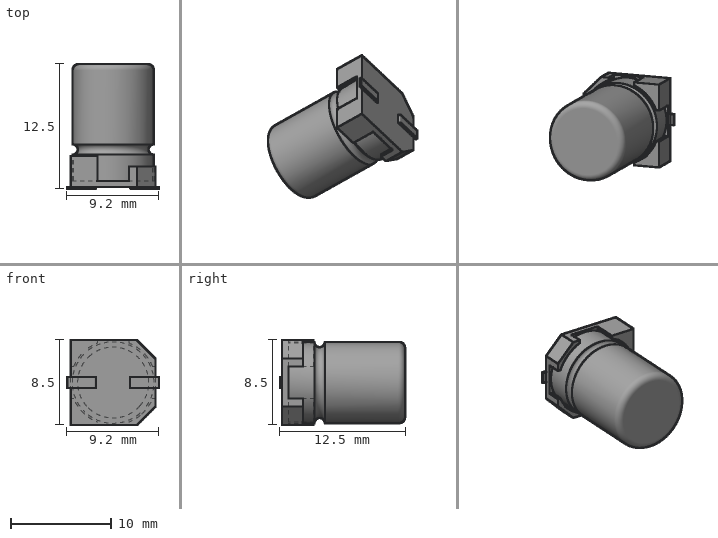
import cadquery as cq
import math


total_height = 12.51
terminal_span = 9.2
base_width = 8.5
can_diameter = 8.15

base_corner_cut = 1.87
base_floor = 0.63
tall_corner_height = 3.13
short_corner_height = 2.09
notch_width = 3.16

top_round = 0.65
groove_center = 3.76
groove_half_width = 0.51
groove_depth = 0.53

terminal_length = 2.9
terminal_width = 1.12
terminal_thickness = 0.2
terminal_end_round = 0.18

half_base = base_width / 2
can_radius = can_diameter / 2
can_top = total_height - terminal_thickness
seat_radius = half_base
groove_radius = can_radius - groove_depth


def make_can():
    """Closed round can with a rolled neck groove and a rounded top edge."""
    round_offset = top_round * math.sqrt(0.5)
    round_middle = (
        can_radius - top_round + round_offset,
        can_top - top_round + round_offset,
    )
    return (
        cq.Workplane("XY")
        .moveTo(0, base_floor)
        .lineTo(can_radius, base_floor)
        .lineTo(can_radius, groove_center - groove_half_width)
        .threePointArc(
            (groove_radius, groove_center),
            (can_radius, groove_center + groove_half_width),
        )
        .lineTo(can_radius, can_top - top_round)
        .threePointArc(round_middle, (can_radius - top_round, can_top))
        .lineTo(0, can_top)
        .close()
        .revolve(360, (0, 0, 0), (0, 1, 0))
    )


def box_above(bottom, x_length, z_length, x_center=0):
    """Box from the level `bottom` up past the tallest part of the base."""
    return cq.Workplane("XY").box(
        x_length, tall_corner_height, z_length, centered=(True, False, True)
    ).translate((x_center, bottom, 0))


def make_base():
    """Square base with two cut corners and four corner posts around the can."""
    base = (
        cq.Workplane("XY")
        .box(base_width, tall_corner_height, base_width, centered=(True, False, True))
        .edges("|Y and >X")
        .chamfer(base_corner_cut)
    )

    base = base.cut(box_above(short_corner_height, half_base, base_width, half_base / 2))

    base = base.cut(box_above(base_floor, notch_width, base_width))
    base = base.cut(box_above(base_floor, base_width, notch_width))

    can_seat = (
        cq.Workplane("XZ", origin=(0, base_floor, 0))
        .circle(seat_radius)
        .extrude(-tall_corner_height)
    )
    return base.cut(can_seat)


def make_terminal(side):
    """Flat terminal under the base with a rounded inner end; side is -1 or +1 along X."""
    outer_end = side * terminal_span / 2
    return (
        cq.Workplane("XY")
        .box(
            terminal_length,
            terminal_thickness,
            terminal_width,
            centered=(True, False, True),
        )
        .translate((outer_end - side * terminal_length / 2, -terminal_thickness, 0))
        .edges("|Z and <Y")
        .edges("<X" if side > 0 else ">X")
        .fillet(terminal_end_round)
    )


can = make_can()
base = make_base()
terminals = [make_terminal(side) for side in (-1, 1)]

result = cq.Compound.makeCompound(
    [base.val(), can.val(), *[terminal.val() for terminal in terminals]]
)